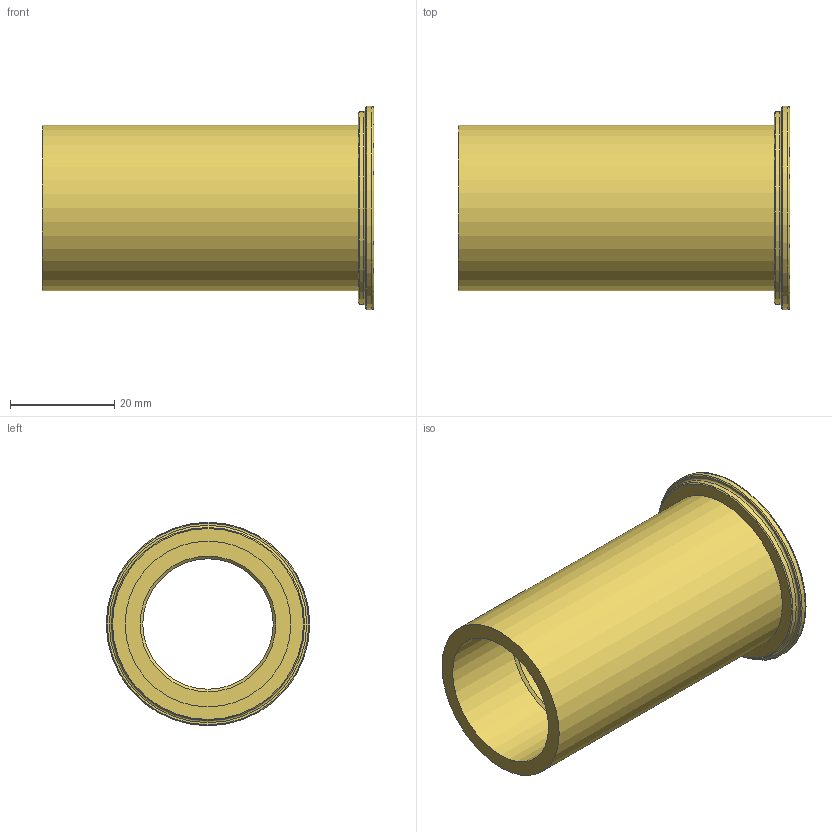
import cadquery as cq
import math

total_length = 63.5
tube_radius = 31.75 / 2

shoulder_radius = 37.0 / 2
shoulder_thickness = 1.5
rim_radius = 39.0 / 2
rim_thickness = 1.5
edge_chamfer = 0.2
back_edge_fillet = 0.4
corner_fillet = 0.4

wide_bore_radius = 26.0 / 2
narrow_bore_radius = 25.0 / 2
wide_bore_depth = 16.0

rim_start = total_length - rim_thickness
shoulder_start = rim_start - shoulder_thickness
cone_end = wide_bore_depth + wide_bore_radius - narrow_bore_radius


def revolve_about_x(half_profile):
    """Solid of revolution of a closed half profile drawn in X and radius."""
    return half_profile.revolve(360, (0, 0, 0), (1, 0, 0))


def make_body():
    """Tube with its flange: chamfered front edges, filleted step corner and rounded back edge."""
    fillet_start = rim_start - corner_fillet
    fillet_top = shoulder_radius + corner_fillet
    fillet_offset = corner_fillet * math.sqrt(0.5)
    fillet_middle = (fillet_start + fillet_offset, fillet_top - fillet_offset)
    back_inset = back_edge_fillet * (1 - math.sqrt(0.5))
    back_middle = (total_length - back_inset, rim_radius - back_inset)
    half_profile = (
        cq.Workplane("XY")
        .moveTo(0, 0)
        .lineTo(0, tube_radius)
        .lineTo(shoulder_start, tube_radius)
        .lineTo(shoulder_start, shoulder_radius - edge_chamfer)
        .lineTo(shoulder_start + edge_chamfer, shoulder_radius)
        .lineTo(fillet_start, shoulder_radius)
        .threePointArc(fillet_middle, (rim_start, fillet_top))
        .lineTo(rim_start, rim_radius - edge_chamfer)
        .lineTo(rim_start + edge_chamfer, rim_radius)
        .lineTo(total_length - back_edge_fillet, rim_radius)
        .threePointArc(back_middle, (total_length, rim_radius - back_edge_fillet))
        .lineTo(total_length, 0)
        .close()
    )
    return revolve_about_x(half_profile)


def make_bore():
    """Through bore whose two diameters meet in a short cone."""
    half_profile = (
        cq.Workplane("XY")
        .moveTo(0, 0)
        .lineTo(0, wide_bore_radius)
        .lineTo(wide_bore_depth, wide_bore_radius)
        .lineTo(cone_end, narrow_bore_radius)
        .lineTo(total_length, narrow_bore_radius)
        .lineTo(total_length, 0)
        .close()
    )
    return revolve_about_x(half_profile)


result = make_body().cut(make_bore())